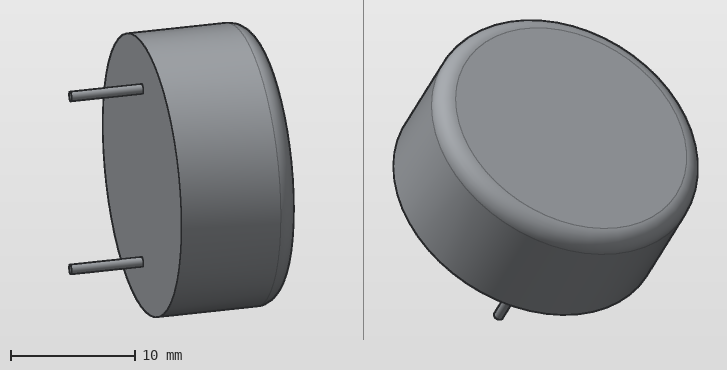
import cadquery as cq

body_diameter = 23.0
body_depth = 9.8
rim_radius = 1.5

pin_diameter = 0.8
pin_length = 6.0
pin_spacing = 15.0


def make_body():
    """Cylinder with its far rim rounded over."""
    cylinder = cq.Workplane("XZ").circle(body_diameter / 2).extrude(-body_depth)
    return cylinder.faces(">Y").edges().fillet(rim_radius)


def make_pins():
    """Pins pointing toward -Y, placed symmetrically about the body axis."""
    pin_places = [(0, pin_spacing / 2), (0, -pin_spacing / 2)]
    return cq.Workplane("XZ").pushPoints(pin_places).circle(pin_diameter / 2).extrude(pin_length)


result = make_body().union(make_pins())